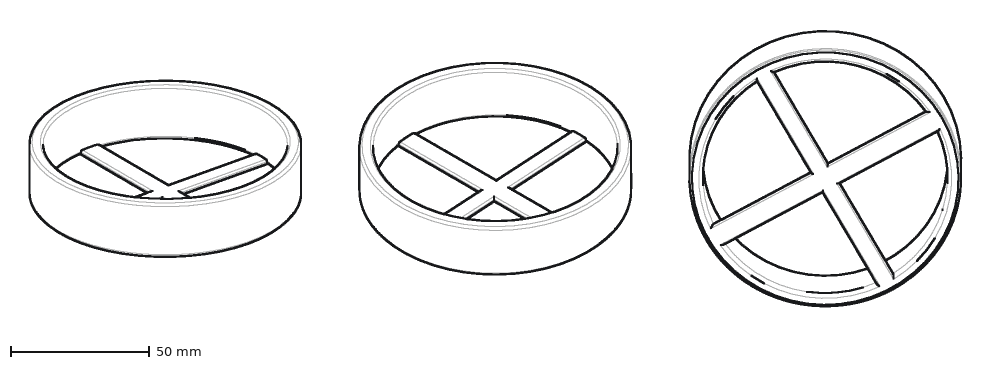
import cadquery as cq
outer_diameter = 98.5
inner_diameter = 88.5
height = 22.0
rim_fillet = 1.0
base_chamfer = 1.0
base_blend = 1.0
inner_base_fillet = 1.5

spoke_width_x = 8.5
spoke_width_y = 7.0
spoke_thickness = 2.0
spoke_fillet = 0.7

smallest_circle = cq.selectors.RadiusNthSelector(0)
largest_circle = cq.selectors.RadiusNthSelector(-1)


def make_ring():
    """Ring with a rounded rim, a softened outer base chamfer and a rounded inner base edge."""
    ring = cq.Workplane("XY").circle(outer_diameter / 2).circle(inner_diameter / 2).extrude(height)
    ring = ring.faces("<Z").edges(largest_circle).chamfer(base_chamfer)
    ring = ring.faces("%CONE").edges(largest_circle).fillet(base_blend)
    ring = ring.faces("<Z").edges(smallest_circle).fillet(inner_base_fillet)
    return ring.faces(">Z").edges().fillet(rim_fillet)


def make_cross():
    """Two crossed spokes with rounded edges, ending inside the ring wall."""
    spoke_length = (outer_diameter + inner_diameter) / 2
    base = cq.Workplane("XY")
    along_x = base.rect(spoke_length, spoke_width_x).extrude(spoke_thickness)
    along_y = base.rect(spoke_width_y, spoke_length).extrude(spoke_thickness)
    cross = along_x.union(along_y)
    return cross.faces("<Z or >Z").edges().fillet(spoke_fillet)


result = make_ring().union(make_cross())